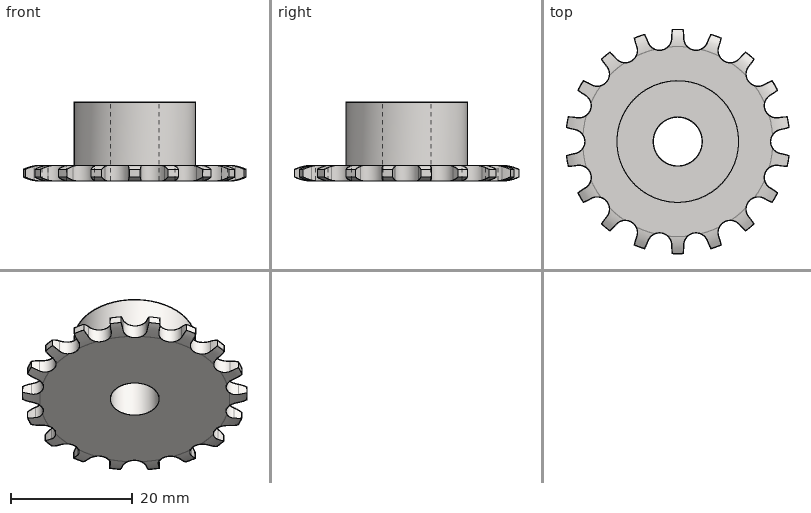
import cadquery as cq
import math


tooth_count = 18
outer_diameter = 36.9
pitch_radius = 17.27
roller_radius = 2.0
flank_radius = 9.6
flank_sweep = 12.0
plate_thickness = 2.6
tip_thickness = 1.25
tooth_side_radius = 6.4
hub_diameter = 20.0
total_height = 13.0
bore_diameter = 8.0

outer_radius = outer_diameter / 2
tooth_angle = 360.0 / tooth_count
half_tooth_angle = tooth_angle / 2
tip_bottom = (plate_thickness - tip_thickness) / 2
tip_top = plate_thickness - tip_bottom

side_arc_depth = tooth_side_radius - tip_bottom
side_arc_width = math.sqrt(tooth_side_radius**2 - side_arc_depth**2)
flat_radius = outer_radius - side_arc_width

side_arc_angle = math.asin(side_arc_width / tooth_side_radius)
side_mid_radius = flat_radius + tooth_side_radius * math.sin(side_arc_angle / 2)
side_mid_drop = tooth_side_radius * (1 - math.cos(side_arc_angle / 2))


def make_blank():
    """Toothless disc whose rim is thinned by an arc on both faces."""
    return (
        cq.Workplane("XZ")
        .lineTo(flat_radius, 0)
        .threePointArc((side_mid_radius, side_mid_drop), (outer_radius, tip_bottom))
        .lineTo(outer_radius, tip_top)
        .threePointArc((side_mid_radius, plate_thickness - side_mid_drop), (flat_radius, plate_thickness))
        .lineTo(0, plate_thickness)
        .close()
        .revolve(360, (0, 0), (0, 1))
    )


def flank_point(angle):
    """Point on the +Y flank of the gap on +X, at an angle along the arc from the roller seat.

    The flank starts parallel to the centre line of the neighbouring tooth, then curves towards it.
    """
    along = flank_radius * math.sin(math.radians(angle))
    across = roller_radius + flank_radius * (1 - math.cos(math.radians(angle)))
    tilt = math.radians(half_tooth_angle)
    x = pitch_radius + along * math.cos(tilt) - across * math.sin(tilt)
    y = along * math.sin(tilt) + across * math.cos(tilt)
    return x, y


def make_gap():
    """Cutter for the tooth gap on +X: a round roller seat between two convex flanks."""
    seat_x, seat_y = flank_point(0)
    middle_x, middle_y = flank_point(flank_sweep / 2)
    mouth_x, mouth_y = flank_point(flank_sweep)
    return (
        cq.Workplane("XY")
        .moveTo(mouth_x, mouth_y)
        .threePointArc((middle_x, middle_y), (seat_x, seat_y))
        .threePointArc((pitch_radius - roller_radius, 0), (seat_x, -seat_y))
        .threePointArc((middle_x, -middle_y), (mouth_x, -mouth_y))
        .close()
        .extrude(plate_thickness)
    )


sprocket = make_blank()
gap = make_gap()
for index in range(tooth_count):
    sprocket = sprocket.cut(gap.rotate((0, 0, 0), (0, 0, 1), index * tooth_angle))

hub = cq.Workplane("XY").circle(hub_diameter / 2).extrude(total_height)
bore = cq.Workplane("XY").circle(bore_diameter / 2).extrude(total_height)

result = sprocket.union(hub).cut(bore)